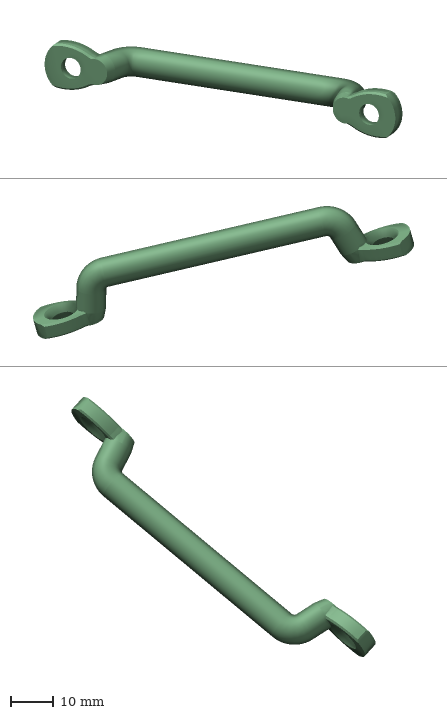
import cadquery as cq
import math

length = 92.4
projection = 14.8
bar_diameter = 7.1
bar_radius = bar_diameter / 2
bend_radius = 4.3
bend_start_x = 26.6
leg_tilt = math.radians(15)

foot_thickness = 3.9
foot_width = 11.4
hole_diameter = 5.2
hole_x = 39.3
countersink_depth = 1.7
countersink_diameter = 8.3
heel_radius = length / 2 - hole_x
widest_x = 41.2
neck_x = 34.4
neck_half_width = 3.8
toe_radius = 3.2
foot_edge_chamfer = 0.5
leg_end_height = 3.1

bar_y = projection - bar_radius
bend_center_y = bar_y - bend_radius
bend_end = (
    -bend_start_x - bend_radius * math.cos(leg_tilt),
    bend_center_y + bend_radius * math.sin(leg_tilt),
)


def leg_x(height):
    """X position of the left leg axis at a given height above the mounting face."""
    return bend_end[0] - (bend_end[1] - height) * math.tan(leg_tilt)


def make_bar():
    """Half of the round bar, from the middle of the handle to the end of the leg."""
    half_angle = (math.pi / 2 + leg_tilt) / 2
    bend_middle = (
        -bend_start_x - bend_radius * math.cos(half_angle),
        bend_center_y + bend_radius * math.sin(half_angle),
    )
    path = (
        cq.Workplane("XY")
        .moveTo(0, bar_y)
        .lineTo(-bend_start_x, bar_y)
        .threePointArc(bend_middle, bend_end)
        .lineTo(leg_x(leg_end_height), leg_end_height)
    )
    return cq.Workplane("YZ").center(bar_y, 0).circle(bar_radius).sweep(path)


def make_leg_end():
    """Blend from the tilted leg section to the round toe on the mounting face."""
    leg_plane = cq.Plane(
        origin=(leg_x(leg_end_height), leg_end_height, 0),
        xDir=(math.cos(leg_tilt), -math.sin(leg_tilt), 0),
        normal=(math.sin(leg_tilt), math.cos(leg_tilt), 0),
    )
    toe_plane = cq.Plane(origin=(leg_x(0), 0, 0), xDir=(1, 0, 0), normal=(0, 1, 0))
    leg_wire = cq.Workplane(leg_plane).circle(bar_radius).wires().val()
    toe_wire = cq.Workplane(toe_plane).circle(toe_radius).wires().val()
    return cq.Workplane(obj=cq.Solid.makeLoft([toe_wire, leg_wire]))


def make_foot():
    """Pear-shaped foot plate with softened long edges and a sharp round heel."""
    toe_x = leg_x(0)
    tail_x = 2 * widest_x - neck_x
    pear = (
        cq.Workplane("XZ")
        .moveTo(-tail_x, neck_half_width)
        .threePointArc((-widest_x, foot_width / 2), (-neck_x, neck_half_width))
        .lineTo(toe_x, toe_radius)
        .threePointArc((toe_x + toe_radius, 0), (toe_x, -toe_radius))
        .lineTo(-neck_x, -neck_half_width)
        .threePointArc((-widest_x, -foot_width / 2), (-tail_x, -neck_half_width))
        .close()
        .extrude(-foot_thickness)
        .faces("<Y or >Y")
        .chamfer(foot_edge_chamfer)
    )
    heel_limit = (
        cq.Workplane("XZ")
        .moveTo(-hole_x, heel_radius)
        .threePointArc((-length / 2, 0), (-hole_x, -heel_radius))
        .lineTo(0, -heel_radius)
        .lineTo(0, heel_radius)
        .close()
        .extrude(-foot_thickness)
    )
    return pear.intersect(heel_limit)


def make_hole():
    """Screw hole through the foot, countersunk on the side away from the mounting face."""
    profile = (
        cq.Workplane("XY")
        .moveTo(-hole_x, 0)
        .lineTo(-hole_x + hole_diameter / 2, 0)
        .lineTo(-hole_x + hole_diameter / 2, foot_thickness - countersink_depth)
        .lineTo(-hole_x + countersink_diameter / 2, foot_thickness)
        .lineTo(-hole_x, foot_thickness)
        .close()
    )
    return profile.revolve(360, (-hole_x, 0, 0), (-hole_x, 1, 0))


half = make_bar().union(make_leg_end()).union(make_foot()).cut(make_hole())
result = half.union(half.mirror("YZ"))